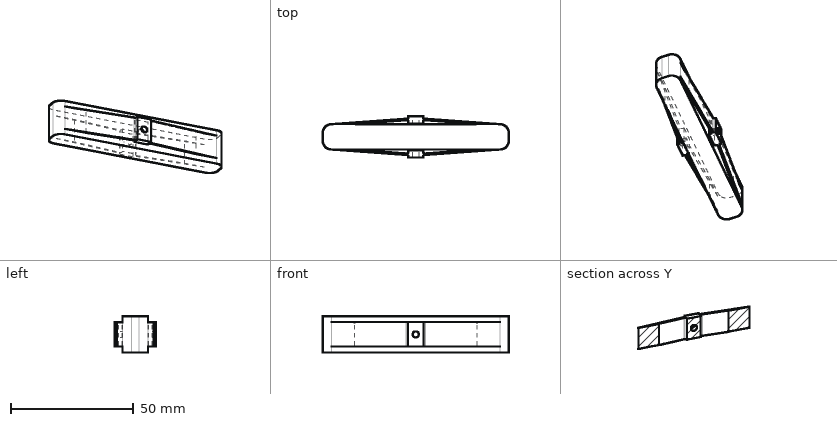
import cadquery as cq

LENGTH = 76.4
BAR_WIDTH = 10.5
HEIGHT = 15.0
CORNER_RADIUS = 3.75

OVERALL_WIDTH = 17.0
SPRING_HEIGHT = 10.0
BUTTON_WIDTH = 6.2
BUTTON_GAP = 0.2
ARM_RISE = 2.2
ARM_THICKNESS = 0.7
ROOT_FLAT = 0.5
ROOT_RADIUS = 0.5
HOLE_DIAMETER = 2.5

bar_face = BAR_WIDTH / 2
button_half = BUTTON_WIDTH / 2
button_face = OVERALL_WIDTH / 2
outer_root = bar_face + ARM_RISE
inner_root = outer_root - ARM_THICKNESS
button_back = bar_face + BUTTON_GAP

arm_tip = LENGTH / 2 - CORNER_RADIUS
arm_root = button_half + ROOT_RADIUS + ROOT_FLAT
arm_slope = ARM_RISE / (arm_tip - arm_root)
arm_inner_tip = arm_tip - ARM_THICKNESS / arm_slope


def make_bar():
    bar = cq.Workplane("XY").box(LENGTH, BAR_WIDTH, HEIGHT)
    return bar.edges("|Z").fillet(CORNER_RADIUS)


def extrude_outline(points):
    outline = cq.Workplane("XY").polyline(points).close()
    return outline.extrude(SPRING_HEIGHT / 2, both=True)


def make_spring():
    """Return the spring on the +Y side: two sloping arms and a drilled button."""
    right_half = [
        (button_half, button_back),
        (button_half, inner_root),
        (arm_root, inner_root),
        (arm_inner_tip, bar_face),
        (arm_tip, bar_face),
        (arm_root, outer_root),
        (button_half, outer_root),
        (button_half, button_face),
    ]
    left_half = [(-x, y) for x, y in reversed(right_half)]
    spring = extrude_outline(right_half + left_half)

    for side in (-1, 1):
        for root in (inner_root, outer_root):
            corner = cq.selectors.NearestToPointSelector((side * button_half, root, 0))
            spring = spring.edges("|Z").edges(corner).fillet(ROOT_RADIUS)

    hole = (
        cq.Workplane("XZ", origin=(0, button_back, 0))
        .circle(HOLE_DIAMETER / 2)
        .extrude(-(button_face - button_back))
    )
    return spring.cut(hole)


spring = make_spring()
result = make_bar().union(spring).union(spring.mirror("XZ"))